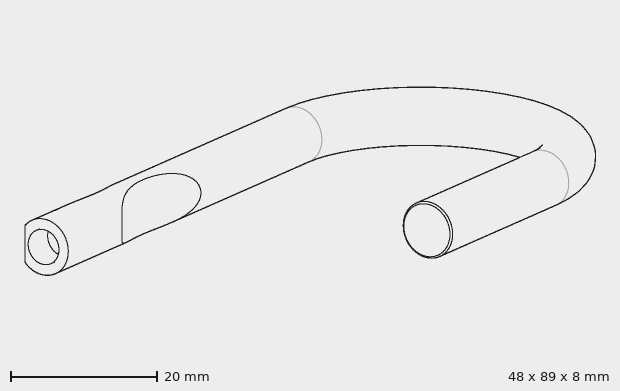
import cadquery as cq

overall_width = 48.0
overall_length = 89.0
rod_diameter = 8.0
rod_radius = rod_diameter / 2
bend_radius = (overall_width - rod_diameter) / 2
bend_center_y = overall_length - overall_width / 2

short_leg_end_y = 35.0
end_chamfer = 0.3

notch_radius = 18.5
notch_depth = 3.0
outer_notch_y = 14.9
inner_notch_y = 23.85
flat_depth = 1.0

bore_diameter = 5.0
bore_depth = 5.0

long_leg_x = -bend_radius
short_leg_x = bend_radius


def make_rod():
    """Round rod: long leg, half-circle bend and short leg."""
    path = (
        cq.Workplane("XY")
        .moveTo(long_leg_x, 0)
        .lineTo(long_leg_x, bend_center_y)
        .threePointArc((0, bend_center_y + bend_radius), (short_leg_x, bend_center_y))
        .lineTo(short_leg_x, short_leg_end_y)
    )
    section = cq.Workplane("XZ").center(long_leg_x, 0).circle(rod_radius)
    return section.sweep(path)


def make_notch(side, y):
    """Half-cylinder cutter for one side of the long leg; side is -1 for -X, +1 for +X."""
    x = long_leg_x + side * (rod_radius - notch_depth + notch_radius)
    near_x = x - side * notch_radius
    return (
        cq.Workplane("XY")
        .moveTo(x, y - notch_radius)
        .threePointArc((near_x, y), (x, y + notch_radius))
        .close()
        .extrude(rod_radius, both=True)
    )


def make_flat():
    """Block that flattens the outer side between the outer notch and the free end."""
    return (
        cq.Workplane("XY")
        .center(long_leg_x - rod_radius, 0)
        .rect(flat_depth, outer_notch_y, centered=False)
        .extrude(rod_radius, both=True)
    )


def make_bore():
    """Cylinder for the blind hole, entering along +Y."""
    return cq.Workplane("XZ").center(long_leg_x, 0).circle(bore_diameter / 2).extrude(-bore_depth)


short_leg_end = cq.selectors.NearestToPointSelector((short_leg_x, short_leg_end_y, 0))
rod = make_rod().faces(short_leg_end).chamfer(end_chamfer)

result = (
    rod.cut(make_notch(-1, outer_notch_y))
    .cut(make_notch(1, inner_notch_y))
    .cut(make_flat())
    .cut(make_bore())
)